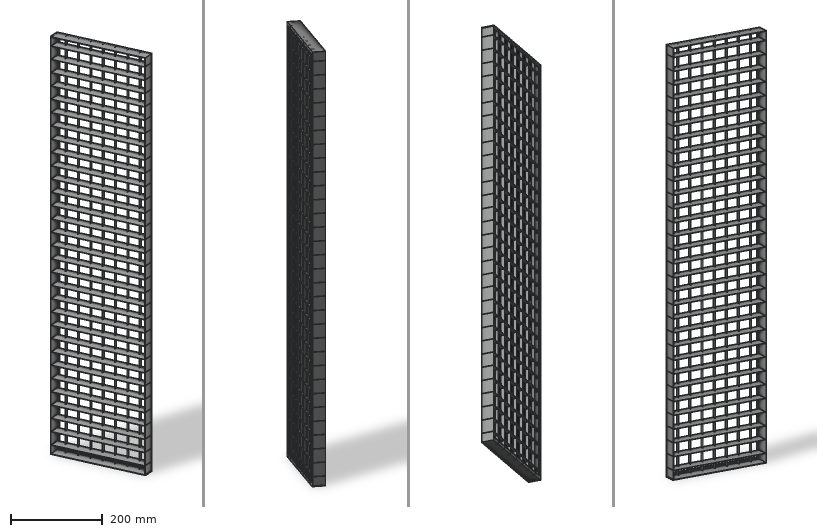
import cadquery as cq

width = 240.0
depth = 30.0
height = 990.0
wall = 2.0
lip_width = 8.0
lip_thickness = 2.0

bar_count = 31
bar_thickness = 1.5
end_gap = 22.0
bar_pitch = (height - 2 * end_gap - bar_thickness) / (bar_count - 1)

rod_count = 7
rod_span = 186.0
rod_pitch = rod_span / (rod_count - 1)
rod_width = 1.0
rod_depth = 8.0

seat = depth / 2 - lip_thickness
recess_depth = depth - lip_thickness


def block(size_x, size_y, size_z, centre=(0, 0, 0)):
    """Make a rectangular block about the given centre."""
    return cq.Workplane("XY").box(size_x, size_y, size_z).translate(centre)


def centred_places(count, pitch):
    """List evenly pitched places, symmetric about zero."""
    return [(i - (count - 1) / 2) * pitch for i in range(count)]


def make_frame():
    """Make the rectangular frame with an inward lip along its back."""
    outer = block(width, depth, height)
    opening = block(width - 2 * lip_width, depth, height - 2 * lip_width)
    recess_centre = (0, seat - recess_depth / 2, 0)
    recess = block(width - 2 * wall, recess_depth, height - 2 * wall, recess_centre)
    return outer.cut(opening).cut(recess)


def make_bar(z):
    """Make a flat bar across the frame, from its front to the lip, with ends sunk into the walls."""
    return block(width - wall, recess_depth, bar_thickness, (0, seat - recess_depth / 2, z))


def make_rod(x):
    """Make an upright rod lying against the lip, with ends sunk into the walls."""
    return block(rod_width, rod_depth, height - wall, (x, seat - rod_depth / 2, 0))


result = make_frame()
for bar_z in centred_places(bar_count, bar_pitch):
    result = result.union(make_bar(bar_z))
for rod_x in centred_places(rod_count, rod_pitch):
    result = result.union(make_rod(rod_x))